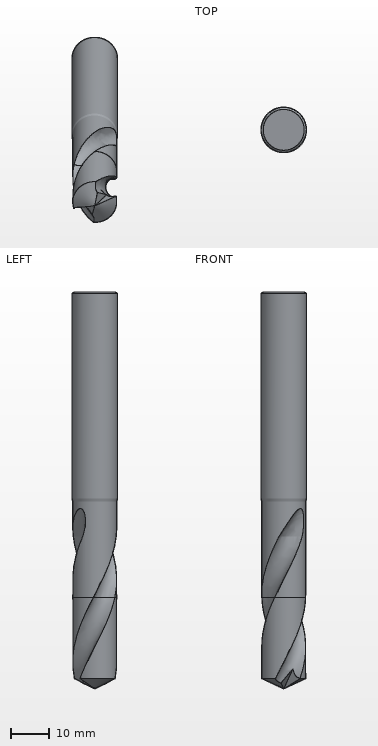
import cadquery as cq
import math

overall_length = 104.0
shank_diameter = 12.0
body_diameter = 11.5
body_radius = body_diameter / 2
shank_radius = shank_diameter / 2

joint_height = 23.9
runout_start = 39.8
runout_end = 47.2
step_bottom = 49.0
step_top = 49.8
end_chamfer_height = 0.4
end_chamfer_inset = 0.6

point_angle = 130.0
point_height = body_radius / math.tan(math.radians(point_angle / 2))

flute_count = 2
flute_lead = 70.7
flute_radius = 3.8
core_radius = 2.9
flute_offset = core_radius + flute_radius
flute_angle_at_tip = 89.0

gash_web_edge = cq.Vector(-0.7, -3.1, 1.5)
gash_valley = cq.Vector(2.2, -2.1, 4.8)
gash_lip_edge = cq.Vector(3.4, -3.0, 2.1)
gash_clearance = cq.Vector(2.1, -7.3, -1.0)
gash_overcut = 1.2


def flute_angle(height):
    """Direction of the first flute's centre at a height, in degrees."""
    return flute_angle_at_tip + 360 * height / flute_lead


def flute_directions(height):
    """Directions of all flute centres at a height, in degrees."""
    return [flute_angle(height) + 360 * i / flute_count for i in range(flute_count)]


def flute_section(height, direction):
    """Circular flute cross-section in the horizontal plane at a height."""
    angle = math.radians(direction)
    return (
        cq.Workplane("XY", origin=(0, 0, height))
        .moveTo(flute_offset * math.cos(angle), flute_offset * math.sin(angle))
        .circle(flute_radius)
    )


def cut_flutes(body, bottom, top):
    """Cut the helical flutes between two heights."""
    twist = 360 * (top - bottom) / flute_lead
    for direction in flute_directions(bottom):
        body = body.cut(flute_section(bottom, direction).twistExtrude(top - bottom, twist))
    return body


def cut_runouts(body):
    """Carry each flute on in a straight line that leaves the surface at the runout end."""
    rise = runout_end - runout_start
    tangential = 2 * math.pi * flute_offset * rise / flute_lead
    clear_radius = body_radius + flute_radius
    outward = math.sqrt(clear_radius**2 - tangential**2) - flute_offset
    for direction in flute_directions(runout_start):
        angle = math.radians(direction)
        path = cq.Vector(
            outward * math.cos(angle) - tangential * math.sin(angle),
            outward * math.sin(angle) + tangential * math.cos(angle),
            rise,
        )
        section = flute_section(runout_start, direction).wires().val()
        body = body.cut(cq.Workplane(cq.Solid.extrudeLinear(section, [], path)))
    return body


def triangle(a, b, c):
    """Flat triangular face."""
    return cq.Face.makeFromWires(cq.Wire.makePolygon([a, b, c], close=True))


def cut_gashes(body):
    """Cut a V-shaped gash running down to the tip in every flute."""
    tip = cq.Vector(0, 0, 0)
    clearance = gash_clearance
    web, valley, lip = [ray * gash_overcut for ray in (gash_web_edge, gash_valley, gash_lip_edge)]
    faces = [
        triangle(tip, web, valley),
        triangle(tip, valley, lip),
        triangle(tip, lip, clearance),
        triangle(tip, clearance, web),
        triangle(web, clearance, valley),
        triangle(lip, valley, clearance),
    ]
    gash = cq.Solid.makeSolid(cq.Shell.makeShell(faces))
    for i in range(flute_count):
        body = body.cut(cq.Workplane(gash.rotate(tip, cq.Vector(0, 0, 1), 360 * i / flute_count)))
    return body


def make_shank():
    """Plain shank stepping down to the upper fluted length."""
    shank = (
        cq.Workplane("XZ")
        .moveTo(0, joint_height)
        .lineTo(body_radius, joint_height)
        .lineTo(body_radius, step_bottom)
        .lineTo(shank_radius, step_top)
        .lineTo(shank_radius, overall_length - end_chamfer_height)
        .lineTo(shank_radius - end_chamfer_inset, overall_length)
        .lineTo(0, overall_length)
        .close()
        .revolve(360, (0, 0), (0, 1))
    )
    return cut_runouts(cut_flutes(shank, joint_height, runout_start))


def make_cutting_tip():
    """Fluted tip with a conical point and thinned web."""
    tip = (
        cq.Workplane("XZ")
        .lineTo(body_radius, point_height)
        .lineTo(body_radius, joint_height)
        .lineTo(0, joint_height)
        .close()
        .revolve(360, (0, 0), (0, 1))
    )
    return cut_gashes(cut_flutes(tip, 0, joint_height))


shank = make_shank()
cutting_tip = make_cutting_tip()

result = cq.Compound.makeCompound([shank.val(), cutting_tip.val()])